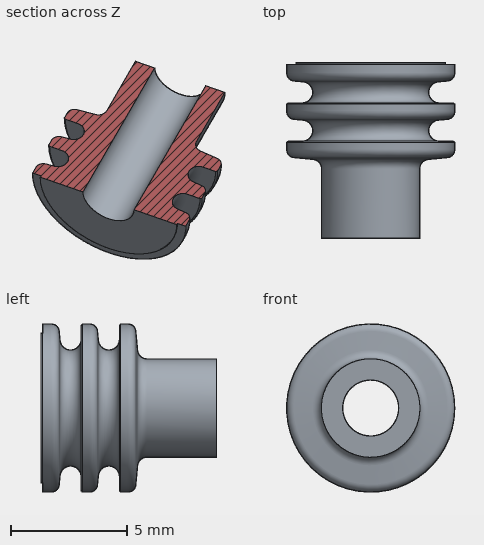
import cadquery as cq
import math

total_length = 7.57
bore_radius = 2.4 / 2
sleeve_radius = 4.25 / 2
rib_radius = 7.25 / 2
rib_rear_radius = 7.1 / 2
rear_pad_radius = 6.45 / 2
rear_pad_height = 0.075
groove_edge_radius = 5.85 / 2
groove_floor_radius = 2.505

lip_radius = 0.35
root_radius = 0.39
face_slope = math.radians(5.4)

rear_lip_y = 7.12
rib_pitch = 1.65
land_width = 0.31
chamfer_height = 0.06
rib_count = 3


def add_rounded_lip(profile, lip_y):
    """Draw the rounded front edge of a rib; also return where its front face starts."""
    center_r = rib_radius - lip_radius
    middle_angle = (math.pi / 2 - face_slope) / 2
    middle = (center_r + lip_radius * math.cos(middle_angle),
              lip_y - lip_radius * math.sin(middle_angle))
    end = (center_r + lip_radius * math.sin(face_slope),
           lip_y - lip_radius * math.cos(face_slope))
    return profile.threePointArc(middle, end), end


def face_y(face_start, radius):
    """Y of the leaning front face at the given radius."""
    start_r, start_y = face_start
    return start_y - (start_r - radius) * math.tan(face_slope)


def add_groove(profile, face_start, next_lip_y):
    """Draw the front face, the round groove and the rear chamfer of the next rib."""
    groove_rear_y = face_y(face_start, groove_edge_radius)
    chamfer_y = next_lip_y + land_width
    groove_front_y = chamfer_y + chamfer_height
    floor = (groove_floor_radius, (groove_rear_y + groove_front_y) / 2)
    return (
        profile.lineTo(groove_edge_radius, groove_rear_y)
        .threePointArc(floor, (groove_edge_radius, groove_front_y))
        .lineTo(rib_rear_radius, groove_front_y)
        .lineTo(rib_radius, chamfer_y)
        .lineTo(rib_radius, next_lip_y)
    )


def add_sleeve(profile, face_start):
    """Draw the front face of the front rib, the root fillet and the sleeve."""
    center_r = sleeve_radius + root_radius
    start_r = center_r - root_radius * math.sin(face_slope)
    start_y = face_y(face_start, start_r)
    center_y = start_y - root_radius * math.cos(face_slope)
    middle_angle = (math.pi / 2 + face_slope) / 2
    middle = (center_r - root_radius * math.sin(middle_angle),
              center_y + root_radius * math.cos(middle_angle))
    return (
        profile.lineTo(start_r, start_y)
        .threePointArc(middle, (sleeve_radius, center_y))
        .lineTo(sleeve_radius, 0)
    )


shoulder_y = total_length - rear_pad_height
section = (
    cq.Workplane("XY")
    .moveTo(bore_radius, total_length)
    .lineTo(rear_pad_radius, total_length)
    .lineTo(rear_pad_radius, shoulder_y)
    .lineTo(rib_radius, shoulder_y)
    .lineTo(rib_radius, rear_lip_y)
)
for rib in range(rib_count):
    lip_y = rear_lip_y - rib * rib_pitch
    section, front_face_start = add_rounded_lip(section, lip_y)
    if rib < rib_count - 1:
        section = add_groove(section, front_face_start, lip_y - rib_pitch)
    else:
        section = add_sleeve(section, front_face_start)

section = section.lineTo(bore_radius, 0).close()
result = section.revolve(360, (0, 0, 0), (0, 1, 0))